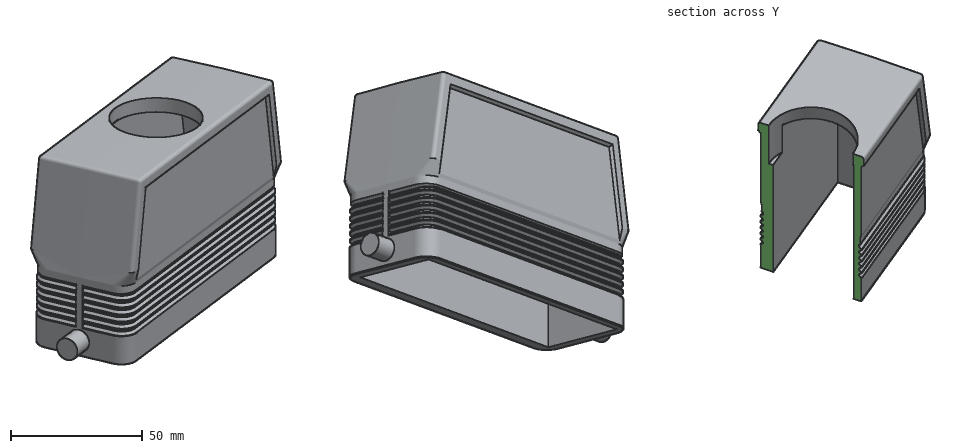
import cadquery as cq
import math

HEIGHT = 76.0
HOOD_WIDTH = 45.0
PIN_SPAN = 138.2

BASE_WIDTH = 43.0
BASE_LENGTH = 119.9
BASE_TOP = 12.0
CORNER_RADIUS = 6.75
BOTTOM_CHAMFER = 0.4

GROOVE_COUNT = 6
GROOVE_PITCH = 3.0
GRIP_HEIGHT = GROOVE_COUNT * GROOVE_PITCH
GROOVE_DEPTH = 1.1
GROOVE_FLOOR = 0.2
TOOTH_LAND = 0.5
END_RIB_WIDTH = 2.8

NECK_SIDE_INSET = 0.45
NECK_END_INSET = 0.3
NECK_WIDTH = BASE_WIDTH - 2 * NECK_SIDE_INSET
NECK_LENGTH = BASE_LENGTH - 2 * NECK_END_INSET
NECK_HEIGHT = 3.0
FLARE_HEIGHT = 6.2
NECK_BOTTOM = BASE_TOP + GRIP_HEIGHT
NECK_TOP = NECK_BOTTOM + NECK_HEIGHT
FLARE_TOP = NECK_TOP + FLARE_HEIGHT

END_SLOPE = math.tan(math.radians(10))
CREASE_SLOPE = math.tan(math.radians(0.5))
HOOD_FILLET = 1.5
HALF_HOOD = HOOD_WIDTH / 2
HALF_FLAT = HALF_HOOD - HOOD_FILLET
EAVES = HEIGHT - HALF_HOOD * CREASE_SLOPE

PANEL_DEPTH = 1.1
PANEL_TOP = 71.3
PANEL_MARGIN = 4.9
PANEL_WALL_RUN = 1.1

HOLE_DIAMETER = 35.7
HOLE_DEPTH = 20.0
ROOF_THICKNESS = 6.0
END_WALL = 4.0
CAVITY_MIN_X = -18.0
CAVITY_MAX_X = 16.0

PIN_DIAMETER = 9.0
PIN_HEIGHT = 6.6


def rounded_block(width, length, z_bottom, height):
    block = cq.Workplane("XY").workplane(offset=z_bottom).rect(width, length).extrude(height)
    return block.edges("|Z").fillet(CORNER_RADIUS)


def end_position(z, x=0.0):
    """Distance of the sloping hood end from the middle, at height z and offset x."""
    return NECK_LENGTH / 2 - (z - NECK_TOP) * END_SLOPE - abs(x) * CREASE_SLOPE


def ruled_block(width, length, radius, z_bottom, upper_width, upper_length, upper_radius, height):
    """Straight-sided transition between two rounded rectangles."""
    lower = cq.Sketch().rect(width, length).vertices().fillet(radius)
    upper = cq.Sketch().rect(upper_width, upper_length).vertices().fillet(upper_radius)
    upper = upper.moved(cq.Location(cq.Vector(0, 0, height)))
    return cq.Workplane("XY").workplane(offset=z_bottom).placeSketch(lower, upper).loft(ruled=True)


def make_base():
    base = rounded_block(BASE_WIDTH, BASE_LENGTH, 0, BASE_TOP)
    return base.faces("<Z").edges().chamfer(BOTTOM_CHAMFER)


def tooth_bevel(width, z_wide, height):
    """Bevelled ring that narrows by the groove depth, upward for a positive height."""
    narrow = 2 * GROOVE_DEPTH
    return ruled_block(width, NECK_LENGTH, CORNER_RADIUS, z_wide,
                       width - narrow, NECK_LENGTH - narrow, CORNER_RADIUS - GROOVE_DEPTH, height)


def make_end_rib():
    """Upright rib on each end that interrupts the grooves, leaning from the base face to the neck face."""
    rib = cq.Workplane("XY").workplane(offset=BASE_TOP).rect(END_RIB_WIDTH, BASE_LENGTH)
    return rib.workplane(offset=GRIP_HEIGHT).rect(END_RIB_WIDTH, NECK_LENGTH).loft(ruled=True)


def make_grip():
    core_inset = 2 * GROOVE_DEPTH
    core = cq.Workplane("XY").workplane(offset=BASE_TOP)
    core = core.rect(BASE_WIDTH - core_inset, NECK_LENGTH - core_inset).extrude(GRIP_HEIGHT)
    grip = core.edges("|Z").fillet(CORNER_RADIUS - GROOVE_DEPTH)
    bevel_height = (GROOVE_PITCH - GROOVE_FLOOR - TOOTH_LAND) / 2
    half_land = TOOTH_LAND / 2
    for level in range(GROOVE_COUNT + 1):
        z_tooth = BASE_TOP + level * GROOVE_PITCH
        if level == GROOVE_COUNT:
            width = NECK_WIDTH
        else:
            width = BASE_WIDTH
        if level > 0:
            grip = grip.union(tooth_bevel(width, z_tooth - half_land, -bevel_height))
            grip = grip.union(rounded_block(width, NECK_LENGTH, z_tooth - half_land, half_land))
        if level < GROOVE_COUNT:
            grip = grip.union(rounded_block(width, NECK_LENGTH, z_tooth, half_land))
            grip = grip.union(tooth_bevel(width, z_tooth + half_land, bevel_height))
    return grip.union(make_end_rib())


def make_neck():
    neck = rounded_block(NECK_WIDTH, NECK_LENGTH, NECK_BOTTOM, NECK_HEIGHT)
    flare = ruled_block(NECK_WIDTH, NECK_LENGTH, CORNER_RADIUS, NECK_TOP,
                        HOOD_WIDTH, 2 * end_position(FLARE_TOP, HALF_FLAT), HOOD_FILLET,
                        FLARE_HEIGHT)
    return neck.union(flare)


def hood_ring(z_mid, z_side):
    """Four corners of the +X half of the hood, starting on the middle line and running round."""
    y_mid = end_position(z_mid)
    y_side = end_position(z_side, HALF_HOOD)
    return [(0, -y_mid, z_mid), (HALF_HOOD, -y_side, z_side), (HALF_HOOD, y_side, z_side), (0, y_mid, z_mid)]


def flat_face(points):
    vectors = [cq.Vector(*point) for point in points]
    return cq.Face.makeFromWires(cq.Wire.makePolygon(vectors, close=True))


def make_half_hood():
    """The +X half of the hood: upright side, sloping ends and a roof falling to the eaves."""
    bottom = hood_ring(NECK_TOP, NECK_TOP)
    roof = hood_ring(HEIGHT, EAVES)
    faces = [flat_face(list(reversed(bottom))), flat_face(roof)]
    for corner in range(len(bottom)):
        following = (corner + 1) % len(bottom)
        faces.append(flat_face([bottom[corner], bottom[following], roof[following], roof[corner]]))
    half = cq.Workplane(cq.Solid.makeSolid(cq.Shell.makeShell(faces)))
    return half.edges("not(<X or <Z)").fillet(HOOD_FILLET)


def make_hood():
    half = make_half_hood()
    hood = half.union(half.mirror("YZ"))
    side_profile = cq.Workplane("XZ").polyline([
        (0, NECK_TOP), (HALF_FLAT, FLARE_TOP), (HALF_HOOD, FLARE_TOP), (HALF_HOOD, HEIGHT),
        (-HALF_HOOD, HEIGHT), (-HALF_HOOD, FLARE_TOP), (-HALF_FLAT, FLARE_TOP)]).close()
    return hood.intersect(side_profile.extrude(BASE_LENGTH, both=True))


def panel_section(plane, inset):
    top = PANEL_TOP - inset
    y_top = end_position(top) - PANEL_MARGIN - inset
    y_bottom = end_position(NECK_TOP) - PANEL_MARGIN - inset
    return plane.polyline([(-y_bottom, NECK_TOP), (y_bottom, NECK_TOP), (y_top, top), (-y_top, top)]).close()


def make_panel_recess():
    """Recess cutter for the +X side, with bevelled walls and an open lower edge."""
    cutter = panel_section(cq.Workplane("YZ").workplane(offset=HALF_HOOD), 0)
    return panel_section(cutter.workplane(offset=-PANEL_DEPTH), PANEL_WALL_RUN).loft(ruled=True)


def make_cavity():
    roof = HEIGHT - ROOF_THICKNESS
    y_bottom = end_position(NECK_TOP) - END_WALL
    y_top = end_position(roof) - END_WALL
    cavity = cq.Workplane("YZ").workplane(offset=CAVITY_MIN_X)
    cavity = cavity.polyline([(-y_bottom, 0), (y_bottom, 0), (y_bottom, NECK_TOP), (y_top, roof),
                              (-y_top, roof), (-y_bottom, NECK_TOP)]).close()
    return cavity.extrude(CAVITY_MAX_X - CAVITY_MIN_X)


def make_cable_hole():
    floor = cq.Workplane("XY").workplane(offset=HEIGHT - HOLE_DEPTH)
    return floor.circle(HOLE_DIAMETER / 2).extrude(HOLE_DEPTH)


def make_pins():
    """Pin at each end; the cavity removes the middle of one through bar."""
    pins = cq.Workplane("XZ").center(0, PIN_HEIGHT).circle(PIN_DIAMETER / 2)
    return pins.extrude(PIN_SPAN / 2, both=True)


body = make_base().union(make_grip()).union(make_neck()).union(make_hood())
recess = make_panel_recess()
body = body.cut(recess).cut(recess.mirror("YZ"))
body = body.union(make_pins())
result = body.cut(make_cavity()).cut(make_cable_hole())